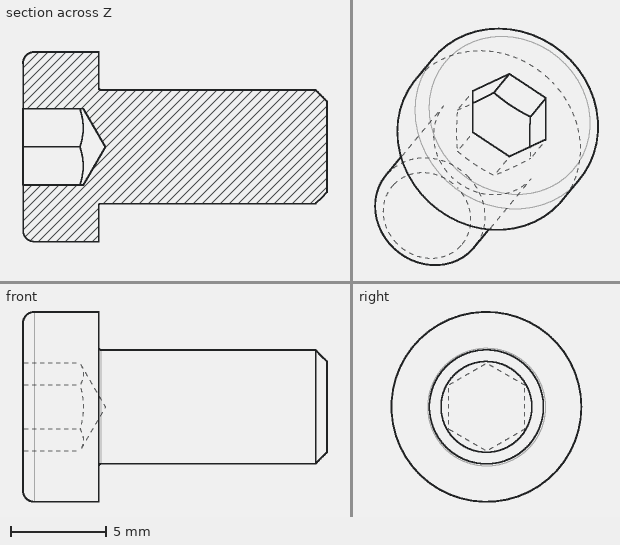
import cadquery as cq
import math

head_diameter = 10.0
head_height = 4.0
head_edge_radius = 0.6

shank_diameter = 6.0
shank_length = 12.0
tip_chamfer = 0.61
neck_fillet_radius = 0.1

socket_across_flats = 4.0
socket_depth = 3.0
socket_cone_angle = 120.0

head_radius = head_diameter / 2
shank_radius = shank_diameter / 2
total_length = head_height + shank_length
socket_across_corners = socket_across_flats / math.cos(math.radians(30))


def arc_midpoint(center_x, center_y, radius, angle):
    """Point on a circle at the given angle in degrees."""
    turn = math.radians(angle)
    return (center_x + radius * math.cos(turn), center_y + radius * math.sin(turn))


def make_body():
    """Head and shank revolved about X, with rounded rim, neck fillet and chamfered tip."""
    rim_midpoint = arc_midpoint(head_edge_radius, head_radius - head_edge_radius, head_edge_radius, 135)
    neck_midpoint = arc_midpoint(
        head_height + neck_fillet_radius, shank_radius + neck_fillet_radius, neck_fillet_radius, 225
    )
    return (
        cq.Workplane("XY")
        .moveTo(0, 0)
        .lineTo(0, head_radius - head_edge_radius)
        .threePointArc(rim_midpoint, (head_edge_radius, head_radius))
        .lineTo(head_height, head_radius)
        .lineTo(head_height, shank_radius + neck_fillet_radius)
        .threePointArc(neck_midpoint, (head_height + neck_fillet_radius, shank_radius))
        .lineTo(total_length - tip_chamfer, shank_radius)
        .lineTo(total_length, shank_radius - tip_chamfer)
        .lineTo(total_length, 0)
        .close()
        .revolve(360, (0, 0), (1, 0))
    )


def make_socket():
    """Hexagonal recess with two corners on the Z axis and a conical bottom."""
    cone_radius = socket_across_corners / 2
    cone_height = cone_radius / math.tan(math.radians(socket_cone_angle / 2))
    hexagon = (
        cq.Workplane("YZ")
        .transformed(rotate=(0, 0, 90))
        .polygon(6, socket_across_corners)
        .extrude(socket_depth + cone_height)
    )
    envelope = (
        cq.Workplane("XY")
        .moveTo(0, 0)
        .lineTo(0, cone_radius)
        .lineTo(socket_depth, cone_radius)
        .lineTo(socket_depth + cone_height, 0)
        .close()
        .revolve(360, (0, 0), (1, 0))
    )
    return hexagon.intersect(envelope)


result = make_body().cut(make_socket())